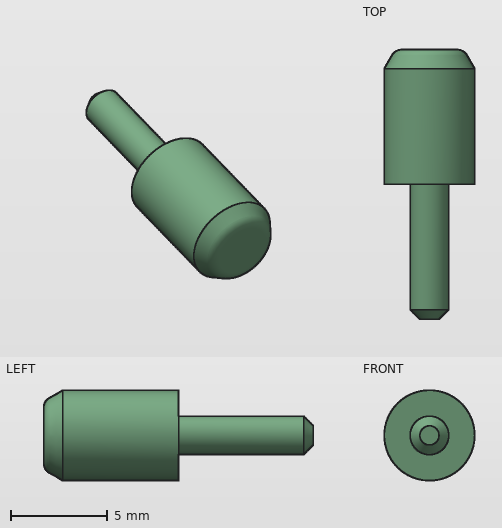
import cadquery as cq
import math

total_length = 14.0
head_length = total_length / 2
head_radius = 4.7 / 2
nose_length = 1.0
nose_angle = math.radians(30)
nose_round = 0.6
pin_length = total_length - head_length
pin_radius = 2.0 / 2
pin_chamfer = 0.5


def make_head():
    """Revolve the head: a plain cylinder with a tapered nose and a rounded end."""
    taper_end_y = head_length - nose_round * (1 - math.sin(nose_angle))
    taper_start_y = head_length - nose_length
    taper_end_radius = head_radius - (taper_end_y - taper_start_y) * math.tan(nose_angle)
    arc_center_radius = taper_end_radius - nose_round * math.cos(nose_angle)
    arc_center_y = head_length - nose_round
    middle_angle = (nose_angle + math.pi / 2) / 2
    arc_middle = (
        arc_center_radius + nose_round * math.cos(middle_angle),
        arc_center_y + nose_round * math.sin(middle_angle),
    )
    return (
        cq.Workplane("XY")
        .lineTo(head_radius, 0)
        .lineTo(head_radius, taper_start_y)
        .lineTo(taper_end_radius, taper_end_y)
        .threePointArc(arc_middle, (arc_center_radius, head_length))
        .lineTo(0, head_length)
        .close()
        .revolve(360, (0, 0, 0), (0, 1, 0))
    )


def make_pin():
    """Extend the pin from the flat head face toward -Y and chamfer its free end."""
    return (
        cq.Workplane("XZ")
        .circle(pin_radius)
        .extrude(pin_length)
        .faces("<Y")
        .chamfer(pin_chamfer)
    )


head = make_head()
pin = make_pin()
result = cq.Compound.makeCompound([head.val(), pin.val()])